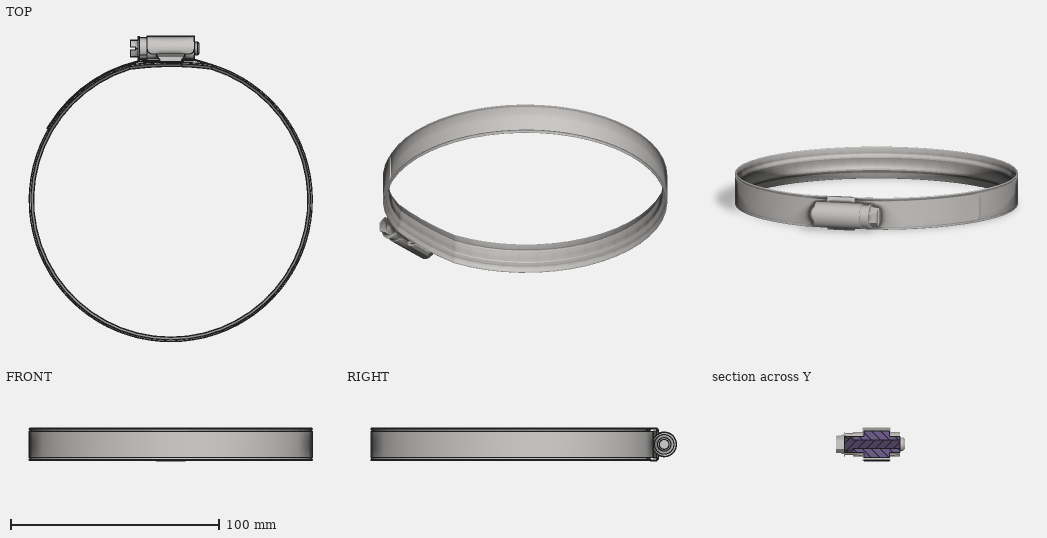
import cadquery as cq
import math


ring_radius = 68.01

liner_half_width = 7.8
lip_thickness = 0.9
lip_height = 3.1
rib_height = 1.3
rib_outer_z = 3.4
rib_inner_z = 2.6
groove_depth = 0.9
kink_x = 20.2
bridge_top_y = 66.3
seam_x = 5.3
seam_width = 0.1

strap_thickness = 0.6
strap_half_width = 6.3
tongue_gap = 0.07
tongue_end_angle = 150
tongue_corner_radius = 2.0
strap_exit_x = 11.7
strap_exit_y = 67.5

screw_axis_y = 72.8
shaft_radius = 4.7
collar_radius = 5.3
collar_length = 3.8
flange_radius = 5.9
flange_thickness = 0.6
head_length = 3.7
head_across_flats = 8.0
head_slot_width = 1.3
head_slot_depth = 2.5
tip_radius = 3.2
tip_length = 2.3
tip_chamfer = 0.9

housing_radius = 5.94
housing_half_length = 11.3
panel_bottom_y = 70.1
panel_corner_radius = 2.5
barrel_radius = 5.7
barrel_bottom_y = 67.6
trough_top_y = 69.7
saddle_half_width = 6.5
leg_half_width = 8.0
leg_thickness = 0.6
leg_shoulder_y = 69.18
leg_shoulder_z = 6.7
leg_neck_y = 67.2
leg_top_half_length = 6.7
leg_foot_half_length = 5.3

floor_radius = ring_radius - strap_thickness
lip_inner_radius = ring_radius - lip_thickness
rib_radius = lip_inner_radius - rib_height
kink_y = math.sqrt(ring_radius**2 - kink_x**2)
bridge_rise = bridge_top_y - kink_y
bridge_radius = (kink_x**2 + bridge_rise**2) / (2 * bridge_rise)
flange_start_x = -housing_half_length - collar_length - flange_thickness


def polar(radius, degrees):
    angle = math.radians(degrees)
    return (radius * math.cos(angle), radius * math.sin(angle))


def liner_ring(rim_radius, center_y):
    """Full ring with the liner's section, its lips reaching rim_radius around (0, center_y)."""
    shift = rim_radius - ring_radius
    lip_r = lip_inner_radius + shift
    rib_r = rib_radius + shift
    wall_z = liner_half_width - lip_height
    lip_round = lip_thickness / 2
    tip_z = liner_half_width - lip_round
    tip_r = rim_radius - lip_round
    section = (
        cq.Workplane("XZ")
        .moveTo(rim_radius, tip_z)
        .lineTo(floor_radius + shift, strap_half_width)
        .lineTo(floor_radius + shift, -strap_half_width)
        .lineTo(rim_radius, -tip_z)
        .threePointArc((tip_r, -liner_half_width), (lip_r, -tip_z))
        .lineTo(lip_r, -wall_z)
        .lineTo(rib_r, -rib_outer_z)
        .lineTo(rib_r, -rib_inner_z)
        .threePointArc((rib_r + groove_depth, 0), (rib_r, rib_inner_z))
        .lineTo(rib_r, rib_outer_z)
        .lineTo(lip_r, wall_z)
        .lineTo(lip_r, tip_z)
        .threePointArc((tip_r, liner_half_width), (rim_radius, tip_z))
        .close()
    )
    return section.revolve(360, (0, 0, 0), (0, 1, 0)).translate((0, center_y, 0))


def make_liner():
    reach = 2 * ring_radius / kink_y
    bridge_wedge = (
        cq.Workplane("XY")
        .polyline([(0, 0), (kink_x * reach, kink_y * reach), (-kink_x * reach, kink_y * reach)])
        .close()
        .extrude(2 * liner_half_width, both=True)
    )
    round_part = liner_ring(ring_radius, 0).cut(bridge_wedge)
    bridge = liner_ring(bridge_radius, bridge_top_y - bridge_radius).intersect(bridge_wedge)
    seam = cq.Workplane("XY").box(seam_width, ring_radius, 3 * liner_half_width)
    return round_part.union(bridge).cut(seam.translate((seam_x, ring_radius, 0)))


def make_strap():
    """One strip: round the ring, up through the housing and down over its own start."""
    start_angle = math.degrees(math.atan2(kink_y, -kink_x))
    bottom_angle = 270
    exit_distance = math.hypot(strap_exit_x, strap_exit_y)
    exit_angle = math.degrees(math.atan2(strap_exit_y, strap_exit_x))
    leave_angle = exit_angle - math.degrees(math.acos(ring_radius / exit_distance))
    tongue_inner = ring_radius + tongue_gap
    tongue_outer = tongue_inner + strap_thickness
    landing_angle = 90 + math.degrees(math.asin(-flange_start_x / tongue_outer))
    tongue_middle_angle = (landing_angle + tongue_end_angle) / 2

    strip = (
        cq.Workplane("XY")
        .moveTo(*polar(ring_radius, start_angle))
        .threePointArc(polar(ring_radius, bottom_angle), polar(ring_radius, leave_angle))
        .lineTo(strap_exit_x, strap_exit_y)
        .lineTo(*polar(tongue_outer, landing_angle))
        .threePointArc(polar(tongue_outer, tongue_middle_angle), polar(tongue_outer, tongue_end_angle))
        .lineTo(*polar(tongue_inner, tongue_end_angle))
        .threePointArc(polar(tongue_inner, tongue_middle_angle), polar(tongue_inner, landing_angle))
        .lineTo(strap_exit_x, strap_exit_y - strap_thickness)
        .lineTo(*polar(floor_radius, leave_angle))
        .threePointArc(polar(floor_radius, bottom_angle), polar(floor_radius, start_angle))
        .close()
        .extrude(strap_half_width, both=True)
    )
    end_x, end_y = polar(tongue_inner + strap_thickness / 2, tongue_end_angle)
    end_box = cq.selectors.BoxSelector(
        (end_x - strap_thickness, end_y - strap_thickness, -2 * strap_half_width),
        (end_x + strap_thickness, end_y + strap_thickness, 2 * strap_half_width),
    )
    return strip.edges(end_box).edges("not |Z").edges("<Z or >Z").fillet(tongue_corner_radius)


def rod(radius, start_x, length):
    return cq.Workplane("YZ", origin=(start_x, screw_axis_y, 0)).circle(radius).extrude(length)


def make_screw():
    head_start_x = flange_start_x - head_length
    corner_diameter = head_across_flats / math.cos(math.radians(30))
    head = (
        cq.Workplane("YZ", origin=(head_start_x, screw_axis_y, 0))
        .transformed(rotate=(0, 0, 90))
        .polygon(6, corner_diameter)
        .extrude(head_length)
    )
    slot = cq.Workplane("XY").box(2 * head_slot_depth, head_slot_width, 2 * head_across_flats)
    head = head.cut(slot.translate((head_start_x, screw_axis_y, 0)))
    flange = rod(flange_radius, flange_start_x, flange_thickness)
    collar = rod(collar_radius, flange_start_x + flange_thickness, collar_length)
    shaft = rod(shaft_radius, -housing_half_length, 2 * housing_half_length)
    tip = rod(tip_radius, housing_half_length, tip_length).faces(">X").chamfer(tip_chamfer)
    return head.union(flange).union(collar).union(shaft).union(tip)


def leg_outline():
    """Solid that gives the legs their length along X, tapering towards the feet."""
    return (
        cq.Workplane("XY")
        .moveTo(-leg_top_half_length, panel_bottom_y)
        .lineTo(-leg_top_half_length, leg_shoulder_y)
        .lineTo(-leg_foot_half_length, leg_neck_y)
        .lineTo(-leg_foot_half_length, bridge_top_y)
        .lineTo(leg_foot_half_length, bridge_top_y)
        .lineTo(leg_foot_half_length, leg_neck_y)
        .lineTo(leg_top_half_length, leg_shoulder_y)
        .lineTo(leg_top_half_length, panel_bottom_y)
        .close()
        .extrude(leg_half_width, both=True)
    )


def make_leg():
    """Bent leg on the +Z side, standing on the liner's rim."""
    inner_z = leg_half_width - leg_thickness
    ledge_bottom_y = panel_bottom_y - leg_thickness
    bend = (
        cq.Workplane("YZ", origin=(-leg_top_half_length, 0, 0))
        .moveTo(panel_bottom_y, shaft_radius)
        .lineTo(panel_bottom_y, leg_shoulder_z)
        .lineTo(leg_shoulder_y, leg_half_width)
        .lineTo(bridge_top_y, leg_half_width)
        .lineTo(bridge_top_y, inner_z)
        .lineTo(leg_shoulder_y - leg_thickness / 2, inner_z)
        .lineTo(ledge_bottom_y, leg_shoulder_z - leg_thickness / 2)
        .lineTo(ledge_bottom_y, shaft_radius)
        .close()
        .extrude(2 * leg_top_half_length)
    )
    return bend.intersect(leg_outline())


def slab(start_x, end_x, bottom_y, top_y, half_width):
    size = (end_x - start_x, top_y - bottom_y, 2 * half_width)
    middle = ((start_x + end_x) / 2, (bottom_y + top_y) / 2, 0)
    return cq.Workplane("XY").box(*size).translate(middle)


def make_shell():
    """Outer half shell whose two lower edges end in rounded corners."""
    start_x = -housing_half_length
    end_x = housing_half_length
    sides = slab(start_x, end_x, panel_bottom_y, screw_axis_y, housing_radius)
    sides = sides.edges("|Z and <Y").fillet(panel_corner_radius)
    dome = slab(start_x, end_x, screw_axis_y, screw_axis_y + housing_radius, housing_radius)
    tube = rod(housing_radius, start_x, 2 * housing_half_length)
    return tube.intersect(sides.union(dome))


def make_barrel():
    """Tube inside the shell, continued as a trough under the screw collar."""
    trough_start_x = -housing_half_length - collar_length
    screw_top_y = screw_axis_y + barrel_radius
    tube = rod(barrel_radius, trough_start_x, housing_half_length - trough_start_x)
    tube_space = slab(
        -housing_half_length, housing_half_length, barrel_bottom_y, screw_top_y, barrel_radius
    )
    trough_space = slab(
        trough_start_x, -housing_half_length, barrel_bottom_y, trough_top_y, barrel_radius
    )
    return tube.intersect(tube_space.union(trough_space))


def make_housing():
    saddle = slab(
        -leg_top_half_length, leg_top_half_length, barrel_bottom_y, trough_top_y, saddle_half_width
    ).intersect(leg_outline())
    leg = make_leg()
    body = make_shell().union(make_barrel()).union(saddle).union(leg).union(leg.mirror("XY"))
    shaft_bore = rod(shaft_radius, -housing_half_length, 2 * housing_half_length)
    collar_recess = rod(collar_radius, -housing_half_length - collar_length, collar_length)
    return body.cut(shaft_bore).cut(collar_recess)


liner = make_liner()
strap = make_strap()
screw = make_screw()
housing = make_housing()

bodies = [liner, strap, screw, housing]
result = cq.Compound.makeCompound([body.solids().val() for body in bodies])